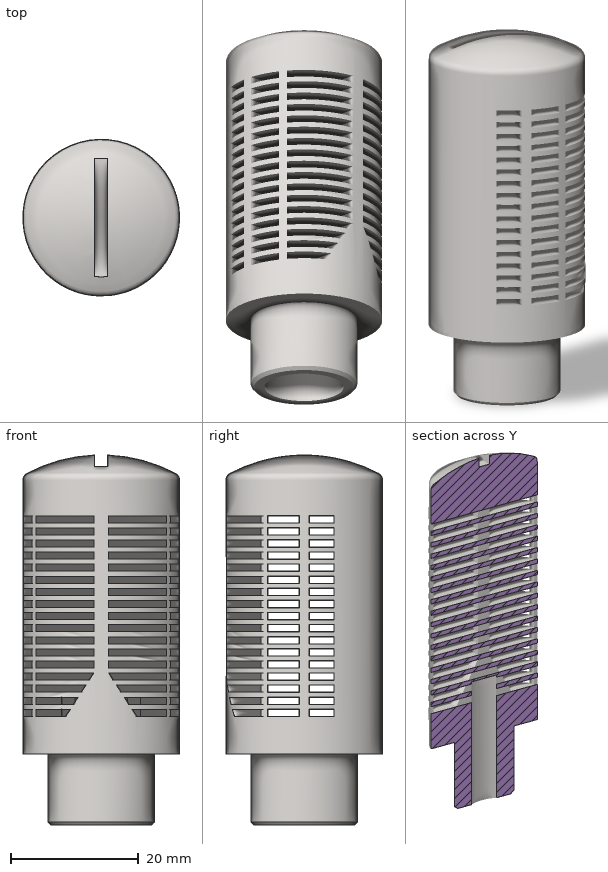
import cadquery as cq
import math

overall_height = 57.95
body_diameter = 24.5
body_radius = body_diameter / 2
stem_radius = 8.35
stem_length = 11.1
stem_chamfer = 0.5

dome_radius = 24.75
shoulder_radius = 1.15

driver_slot_width = 2.0
driver_slot_half_length = 9.25
driver_slot_depth = 2.4

dome_centre = overall_height - math.sqrt(dome_radius**2 - (driver_slot_width / 2) ** 2)
dome_apex = dome_centre + dome_radius

bore_radius = 6.2
bore_depth = 20.4

vent_count = 17
vent_height = 1.1
vent_bottom = 17.05
vent_top = 48.45
vent_pitch = (vent_top - vent_bottom - vent_height) / (vent_count - 1)

centre_web_half = 0.8
side_vent_front = 5.7
side_vent_back = 4.65
front_web_half = 1.15
front_vent_reach = 10.2

triangle_half_base = 5.55
triangle_top = 23.85


def make_body():
    """Revolved stem and barrel; the shoulder arc is tangent to the barrel side and to the dome."""
    shoulder_x = body_radius - shoulder_radius
    shoulder_rise = math.sqrt((dome_radius - shoulder_radius) ** 2 - shoulder_x**2)
    shoulder_z = dome_centre + shoulder_rise
    dome_edge_angle = math.atan2(shoulder_rise, shoulder_x)
    shoulder_mid_angle = dome_edge_angle / 2
    dome_mid_angle = (dome_edge_angle + math.pi / 2) / 2

    def shoulder_point(angle):
        return (
            shoulder_x + shoulder_radius * math.cos(angle),
            shoulder_z + shoulder_radius * math.sin(angle),
        )

    def dome_point(angle):
        return (dome_radius * math.cos(angle), dome_centre + dome_radius * math.sin(angle))

    return (
        cq.Workplane("XZ")
        .moveTo(0, 0)
        .lineTo(stem_radius - stem_chamfer, 0)
        .lineTo(stem_radius, stem_chamfer)
        .lineTo(stem_radius, stem_length)
        .lineTo(body_radius, stem_length)
        .lineTo(body_radius, shoulder_z)
        .threePointArc(shoulder_point(shoulder_mid_angle), shoulder_point(dome_edge_angle))
        .threePointArc(dome_point(dome_mid_angle), (0, dome_apex))
        .close()
        .revolve(360, (0, 0, 0), (0, 1, 0))
    )


def make_driver_slot():
    """Cutter whose arc floor meets the dome at both ends of the slot."""
    end_height = dome_centre + math.sqrt(dome_radius**2 - driver_slot_half_length**2)
    return (
        cq.Workplane("YZ")
        .moveTo(-driver_slot_half_length, dome_apex)
        .lineTo(-driver_slot_half_length, end_height)
        .threePointArc((0, dome_apex - driver_slot_depth), (driver_slot_half_length, end_height))
        .lineTo(driver_slot_half_length, dome_apex)
        .close()
        .extrude(driver_slot_width / 2, both=True)
    )


def make_side_vent(y_start, y_end, floor):
    """Opening that passes right through the barrel along X."""
    return cq.Workplane("XY").box(
        2 * body_radius, y_end - y_start, vent_height, centered=(True, False, False)
    ).translate((0, y_start, floor))


def make_front_vents(floor):
    """Pair of pockets reaching from the front surface back to the centre web."""
    pair = cq.Workplane("XY")
    for start in (-front_vent_reach, front_web_half):
        pocket = cq.Workplane("XY").box(
            front_vent_reach - front_web_half,
            body_radius - centre_web_half,
            vent_height,
            centered=False,
        )
        pair = pair.add(pocket.translate((start, -body_radius, floor)))
    return pair.combine()


def make_front_triangle():
    """Wedge kept solid in front of the side vents."""
    return (
        cq.Workplane("XZ", origin=(0, -side_vent_front, 0))
        .polyline([
            (-triangle_half_base, vent_bottom),
            (triangle_half_base, vent_bottom),
            (front_web_half, triangle_top),
            (-front_web_half, triangle_top),
        ])
        .close()
        .extrude(body_radius - side_vent_front)
    )


bore = cq.Workplane("XY").circle(bore_radius).extrude(bore_depth)
front_triangle = make_front_triangle()
result = make_body().cut(make_driver_slot()).cut(bore)

for layer in range(vent_count):
    layer_floor = vent_bottom + layer * vent_pitch
    result = result.cut(make_side_vent(-side_vent_front, -centre_web_half, layer_floor))
    result = result.cut(make_side_vent(centre_web_half, side_vent_back, layer_floor))
    result = result.cut(make_front_vents(layer_floor).cut(front_triangle))